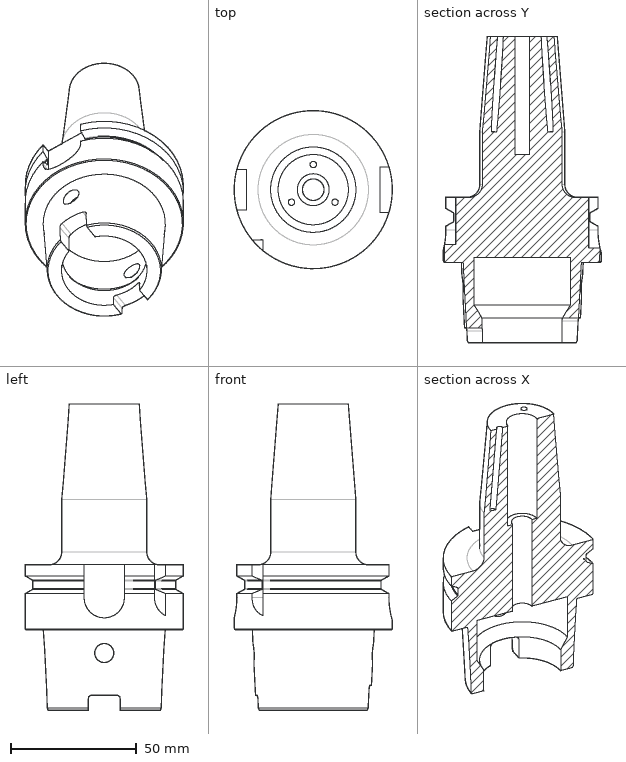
import math

import cadquery as cq


shank_length = 32.0
shank_top_radius = 24.32
shank_taper = 0.05
shank_end_band = 0.9
shank_end_inset = 0.4
cavity_mouth_radius = 17.0
cavity_undercut_radius = 20.0
cavity_shoulder_angle = 30.0
cavity_shoulder_z = -22.0
cavity_top_z = 2.0

flange_radius = 31.5
flange_height = 26.0
flange_edge_chamfer = 0.4
groove_center_z = 18.0
groove_opening = 7.0
groove_floor_radius = 28.5
groove_flank_angle = 30.0
groove_corner_radius = 0.4

total_length = 122.0
nose_top_z = total_length - shank_length
nose_radius = 17.0
nose_top_radius = 14.0
nose_taper_start_z = 52.0
nose_root_fillet = 5.0

clamp_bore_radius = 6.35
clamp_bore_depth = 47.0
through_bore_radius = 4.25

channel_count = 3
channel_radius = 1.25
channel_circle_radius = 10.0
channel_depth = 38.0
channel_tilt = math.degrees(
    math.atan((nose_radius - nose_top_radius) / (nose_top_z - nose_taper_start_z))
)

slot_floor_x = 26.5
left_slot_width = 16.0
right_slot_width = 18.0
slot_end_center_z = 12.85
notch_x = -20.0
notch_y = -20.0
notch_width = 16.0

cross_hole_radius = 3.75
cross_hole_z = -9.15
keyway_width = 12.54
keyway_corner_radius = 1.3
left_keyway_depth = 6.0
right_keyway_depth = 10.0

clearance = 5.0


def make_body():
    """Revolve the outer profile of shank, flange and nose."""
    bottom_z = -shank_length
    band_z = bottom_z + shank_end_band
    band_radius = shank_top_radius + shank_taper * band_z
    flank_height = (flange_radius - groove_floor_radius) * math.tan(math.radians(groove_flank_angle))
    groove_bottom_z = groove_center_z - groove_opening / 2
    groove_top_z = groove_center_z + groove_opening / 2
    profile = (
        cq.Workplane("XZ")
        .moveTo(0, bottom_z)
        .lineTo(band_radius - shank_end_inset, bottom_z)
        .lineTo(band_radius, band_z)
        .lineTo(shank_top_radius, 0)
        .lineTo(flange_radius - flange_edge_chamfer, 0)
        .lineTo(flange_radius, flange_edge_chamfer)
        .lineTo(flange_radius, groove_bottom_z)
        .lineTo(groove_floor_radius, groove_bottom_z + flank_height)
        .lineTo(groove_floor_radius, groove_top_z - flank_height)
        .lineTo(flange_radius, groove_top_z)
        .lineTo(flange_radius, flange_height)
        .lineTo(nose_radius + nose_root_fillet, flange_height)
        .radiusArc((nose_radius, flange_height + nose_root_fillet), nose_root_fillet)
        .lineTo(nose_radius, nose_taper_start_z)
        .lineTo(nose_top_radius, nose_top_z)
        .lineTo(0, nose_top_z)
        .close()
    )
    body = profile.revolve(360, (0, 0, 0), (0, 1, 0))
    reach = groove_floor_radius + groove_corner_radius / 2
    groove_floor = cq.selectors.BoxSelector(
        (-reach, -reach, groove_bottom_z + flank_height / 2),
        (reach, reach, groove_top_z - flank_height / 2),
        boundingbox=True,
    )
    return body.edges(groove_floor).edges("%CIRCLE").fillet(groove_corner_radius)


def vertical_cylinder(radius, bottom_z, top_z):
    """Solid cylinder on the Z axis between two heights."""
    return cq.Workplane("XY").workplane(offset=bottom_z).circle(radius).extrude(top_z - bottom_z)


def make_cavity():
    """Cavity in the shank: a narrow mouth, a conical shoulder and a wider undercut above."""
    widening = cavity_undercut_radius - cavity_mouth_radius
    undercut_z = cavity_shoulder_z + widening / math.tan(math.radians(cavity_shoulder_angle))
    profile = (
        cq.Workplane("XZ")
        .moveTo(0, -shank_length)
        .lineTo(cavity_mouth_radius, -shank_length)
        .lineTo(cavity_mouth_radius, cavity_shoulder_z)
        .lineTo(cavity_undercut_radius, undercut_z)
        .lineTo(cavity_undercut_radius, cavity_top_z)
        .lineTo(0, cavity_top_z)
        .close()
    )
    return profile.revolve(360, (0, 0, 0), (0, 1, 0))


def cut_bores(body):
    """Clamping bore from the top, coolant bore through, cavity in the shank."""
    body = body.cut(vertical_cylinder(clamp_bore_radius, nose_top_z - clamp_bore_depth, nose_top_z))
    body = body.cut(vertical_cylinder(through_bore_radius, -shank_length, nose_top_z))
    return body.cut(make_cavity())


def cut_coolant_channels(body):
    """Blind channels that lean outward going down, parallel to the nose taper."""
    channel = (
        vertical_cylinder(channel_radius, -channel_depth, clearance)
        .rotate((0, 0, 0), (1, 0, 0), channel_tilt)
        .translate((0, channel_circle_radius, nose_top_z))
    )
    for index in range(channel_count):
        body = body.cut(channel.rotate((0, 0, 0), (0, 0, 1), index * 360 / channel_count))
    return body


def flange_slot(width, center_y, start_x, end_x):
    """Slot body running along X, with a round lower end and an open top."""
    top_z = flange_height
    radius = width / 2
    return (
        cq.Workplane("YZ")
        .workplane(offset=start_x)
        .moveTo(center_y - radius, top_z)
        .lineTo(center_y - radius, slot_end_center_z)
        .radiusArc((center_y + radius, slot_end_center_z), -radius)
        .lineTo(center_y + radius, top_z)
        .close()
        .extrude(end_x - start_x)
    )


def cut_flange_slots(body):
    """A slot on each X side and a corner notch whose faces meet at right angles."""
    outside_x = flange_radius + clearance
    body = body.cut(flange_slot(left_slot_width, 0, -outside_x, -slot_floor_x))
    body = body.cut(flange_slot(right_slot_width, 0, slot_floor_x, outside_x))
    notch_center_y = notch_y - notch_width / 2
    return body.cut(flange_slot(notch_width, notch_center_y, -outside_x, notch_x))


def cut_cross_hole(body):
    """Round hole along X through both walls of the shank."""
    half_length = shank_top_radius + clearance
    hole = (
        cq.Workplane("YZ")
        .center(0, cross_hole_z)
        .circle(cross_hole_radius)
        .extrude(half_length, both=True)
    )
    return body.cut(hole)


def cut_keyways(body):
    """Drive keyways in the lower shank rim, deeper on the +X side."""
    length = shank_top_radius + clearance
    for side, depth in ((-1, left_keyway_depth), (1, right_keyway_depth)):
        height = depth + clearance
        keyway = (
            cq.Workplane("XY")
            .box(length, keyway_width, height)
            .edges("|X and >Z")
            .fillet(keyway_corner_radius)
            .translate((side * length / 2, 0, depth - shank_length - height / 2))
        )
        body = body.cut(keyway)
    return body


result = make_body()
result = cut_bores(result)
result = cut_coolant_channels(result)
result = cut_flange_slots(result)
result = cut_cross_hole(result)
result = cut_keyways(result)